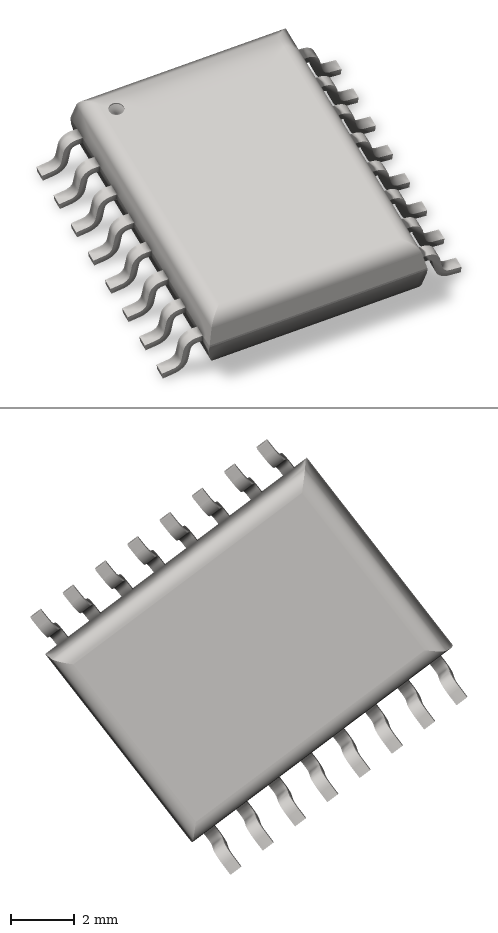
import cadquery as cq
import math

length_x = 10.29
lead_span = 10.33
overall_height = 2.5

body_width = 7.52
standoff = 0.13
draft_angle = math.radians(11)
edge_radius = 0.5
end_band_height = 0.08
end_band_depth = 1.06

lead_count = 8
lead_pitch = 1.27
lead_width = 0.41
lead_thickness = 0.25
lead_top_depth = 1.11
shoulder_length = 0.2
web_angle = math.radians(80)
foot_tilt = math.radians(7)
upper_bend_radius = 0.35
lower_bend_radius = 0.43
root_depth = 0.21

mark_diameter = 0.5
mark_wall_depth = 0.05
mark_cone_depth = 0.14
mark_x = -4.03
mark_y = -2.7


def drafted_profile(plane, full_width, band_depth, band_height, depth):
    """Section with a vertical band at mid height, drafted sides and rounded top and bottom edges."""
    half = full_width / 2
    band_top = overall_height - band_depth
    band_bottom = band_top - band_height
    half_top = half - band_depth * math.tan(draft_angle)
    half_bottom = half - (band_bottom - standoff) * math.tan(draft_angle)
    outline = [
        (-half_bottom, standoff),
        (half_bottom, standoff),
        (half, band_bottom),
        (half, band_top),
        (half_top, overall_height),
        (-half_top, overall_height),
        (-half, band_top),
        (-half, band_bottom),
    ]
    block = cq.Workplane(plane).polyline(outline).close().extrude(depth / 2, both=True)
    long_edges = block.faces("<Z or >Z").edges("|Y" if plane == "XZ" else "|X")
    return long_edges.fillet(edge_radius)


def make_body():
    """The two crossed sections meet in mitred corners."""
    along_x = drafted_profile("XZ", length_x, end_band_depth, end_band_height, body_width)
    along_y = drafted_profile("YZ", body_width, lead_top_depth, lead_thickness, length_x)
    return along_x.intersect(along_y)


def make_lead(x):
    """Gull-wing lead on the +Y side: a flat strip swept along its bent centreline."""
    root_y = body_width / 2 - root_depth
    bend_y = body_width / 2 + shoulder_length
    shoulder_z = overall_height - lead_top_depth - lead_thickness / 2

    upper_centre_z = shoulder_z - upper_bend_radius

    def on_upper_bend(angle):
        return (
            bend_y + upper_bend_radius * math.sin(angle),
            upper_centre_z + upper_bend_radius * math.cos(angle),
        )

    web_start = on_upper_bend(web_angle)

    foot_end_y = lead_span / 2 - lead_thickness / 2 * math.sin(foot_tilt)
    foot_end_z = lead_thickness / 2 * math.cos(foot_tilt)

    gap_y = foot_end_y - web_start[0] - lower_bend_radius * (math.sin(web_angle) - math.sin(foot_tilt))
    gap_z = web_start[1] - foot_end_z - lower_bend_radius * (math.cos(foot_tilt) - math.cos(web_angle))
    web_length = (gap_z * math.cos(foot_tilt) - gap_y * math.sin(foot_tilt)) / math.sin(web_angle - foot_tilt)
    web_end = (
        web_start[0] + web_length * math.cos(web_angle),
        web_start[1] - web_length * math.sin(web_angle),
    )

    lower_centre_y = web_end[0] + lower_bend_radius * math.sin(web_angle)
    lower_centre_z = web_end[1] + lower_bend_radius * math.cos(web_angle)

    def on_lower_bend(angle):
        return (
            lower_centre_y - lower_bend_radius * math.sin(angle),
            lower_centre_z - lower_bend_radius * math.cos(angle),
        )

    centreline = (
        cq.Workplane("YZ", origin=(x, 0, 0))
        .moveTo(root_y, shoulder_z)
        .lineTo(bend_y, shoulder_z)
        .threePointArc(on_upper_bend(web_angle / 2), web_start)
        .lineTo(*web_end)
        .threePointArc(on_lower_bend((web_angle + foot_tilt) / 2), on_lower_bend(foot_tilt))
        .lineTo(foot_end_y, foot_end_z)
    )
    strip = cq.Workplane("XZ", origin=(x, root_y, shoulder_z)).rect(lead_width, lead_thickness)
    return strip.sweep(centreline)


def make_mark():
    """Short vertical wall below the top face, closed by a cone that points down."""
    radius = mark_diameter / 2
    cone_base_z = overall_height - mark_wall_depth
    wall = cq.Workplane(origin=(mark_x, mark_y, cone_base_z)).circle(radius).extrude(mark_wall_depth)
    tip = cq.Solid.makeCone(
        radius, 0, mark_cone_depth, cq.Vector(mark_x, mark_y, cone_base_z), cq.Vector(0, 0, -1)
    )
    return wall.union(cq.Workplane(tip))


result = make_body()
for index in range(lead_count):
    lead = make_lead((index - (lead_count - 1) / 2) * lead_pitch)
    result = result.union(lead).union(lead.mirror("XZ"))
result = result.cut(make_mark())